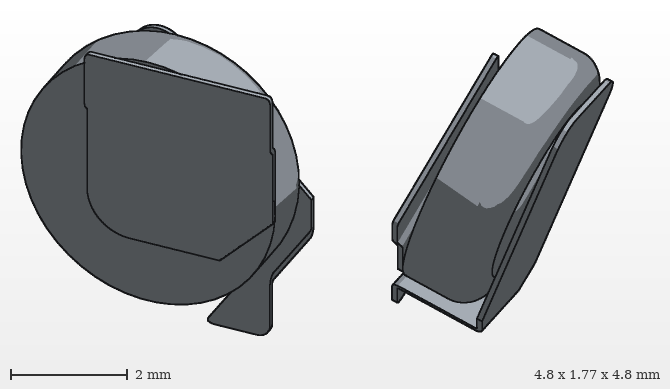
import cadquery as cq
import math


cell_diameter = 4.8
cell_radius = cell_diameter / 2
cell_depth = 1.46
cell_rounding = 0.5
cap_radius = 1.7
cap_height = 0.1

sheet = 0.1
inner_bend = 0.05
outer_bend = inner_bend + sheet

tab_left = -1.105
tab_right = cell_radius
tab_top = cell_radius
tab_bottom = -1.165
tab_chamfer = 1.0
tab_big_round = 0.8
tab_small_round = 0.095
joggle_start = 1.255
joggle_angle = 45.0
joggle_offset = 0.105

strip_width = 2.6
strip_far_end = 2.005
strip_end_round = 0.5
wall_inner = 2.52
foot_front = 0.21
foot_corner_round = 0.24
strip_angle = 45.0


def make_cell():
    """Cylinder with a rounded rear edge and a smaller rounded cap, revolved about Y."""
    shoulder = cell_depth - cap_height
    diagonal = math.sqrt(0.5)
    rounding_start = shoulder - cell_rounding
    shoulder_radius = cell_radius - cell_rounding
    cap_flat_radius = cap_radius - cap_height
    rim_mid = (
        rounding_start + cell_rounding * diagonal,
        shoulder_radius + cell_rounding * diagonal,
    )
    cap_mid = (
        shoulder + cap_height * diagonal,
        cap_flat_radius + cap_height * diagonal,
    )
    half_section = (
        cq.Workplane("YZ")
        .lineTo(0, cell_radius)
        .lineTo(rounding_start, cell_radius)
        .threePointArc(rim_mid, (shoulder, shoulder_radius))
        .lineTo(shoulder, cap_radius)
        .threePointArc(cap_mid, (cell_depth, cap_flat_radius))
        .lineTo(cell_depth, 0)
        .close()
    )
    return half_section.revolve(360, (0, 0, 0), (1, 0, 0))


def make_front_terminal():
    """Sheet welded to the flat cell face, joggled outward near its top edge."""
    miter = sheet / 2 * math.tan(math.radians(joggle_angle / 2))
    joggle_end = joggle_start + joggle_offset / math.tan(math.radians(joggle_angle))
    side_profile = [
        (0, tab_bottom),
        (0, joggle_start + miter),
        (-joggle_offset, joggle_end + miter),
        (-joggle_offset, tab_top),
        (-joggle_offset - sheet, tab_top),
        (-joggle_offset - sheet, joggle_end - miter),
        (-sheet, joggle_start - miter),
        (-sheet, tab_bottom),
    ]
    width = tab_right - tab_left
    tab = cq.Workplane("YZ", origin=(tab_left, 0, 0)).polyline(side_profile).close().extrude(width)

    def bend_edge(point):
        y, z = point
        return cq.selectors.NearestToPointSelector(((tab_left + tab_right) / 2, y, z))

    for outside, inside in [(1, 6), (5, 2)]:
        tab = tab.edges(bend_edge(side_profile[outside])).fillet(outer_bend)
        tab = tab.edges(bend_edge(side_profile[inside])).fillet(inner_bend)

    tab = tab.edges("|Y and >Z").fillet(tab_small_round)
    tab = tab.edges("|Y and <Z and <X").fillet(tab_big_round)
    return tab.edges("|Y and <Z and >X").chamfer(tab_chamfer)


def make_rear_terminal():
    """Strip on the cap that bends forward past the cell and ends in a corner foot."""
    rear = cell_depth + sheet
    wall_outer = wall_inner + sheet
    foot_reach = cell_radius * math.sqrt(2)
    profile = (
        cq.Workplane("XY", origin=(0, 0, -strip_width / 2))
        .moveTo(-strip_far_end, rear)
        .lineTo(wall_outer, rear)
        .lineTo(wall_outer, sheet - foot_front)
        .lineTo(foot_reach, sheet - foot_front)
        .lineTo(foot_reach, -foot_front)
        .lineTo(wall_inner, -foot_front)
        .lineTo(wall_inner, cell_depth)
        .lineTo(-strip_far_end, cell_depth)
        .close()
    )
    strip = profile.extrude(strip_width)

    bends = [
        (wall_outer, rear, outer_bend),
        (wall_inner, cell_depth, inner_bend),
        (wall_inner, -foot_front, outer_bend),
        (wall_outer, sheet - foot_front, inner_bend),
    ]
    for x, y, radius in bends:
        strip = strip.edges(cq.selectors.NearestToPointSelector((x, y, 0))).fillet(radius)

    strip = strip.edges("|Y and <X").fillet(strip_end_round)
    strip = strip.rotate((0, 0, 0), (0, 1, 0), strip_angle)

    footprint = (
        cq.Workplane("XZ", origin=(0, -foot_front, 0))
        .rect(cell_diameter, cell_diameter)
        .extrude(-(rear + foot_front))
        .edges("|Y and >X and <Z")
        .fillet(foot_corner_round)
    )
    return strip.intersect(footprint)


cell = make_cell()
front_terminal = make_front_terminal()
rear_terminal = make_rear_terminal()

result = cq.Compound.makeCompound([cell.val(), front_terminal.val(), rear_terminal.val()])